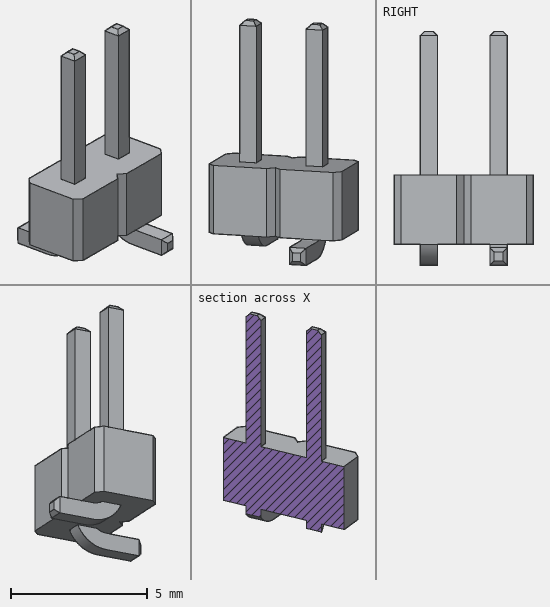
import cadquery as cq

housing_length = 5.08
housing_height = 2.545
housing_bottom = 0.76
corner_chamfer = 0.26
total_height = 8.54
foot_span = 5.0
pin_width = 0.64

pitch = housing_length / 2
tip_length = pin_width / 4
tip_face_width = pin_width / 2
half_pin = pin_width / 2
inner_radius = pin_width
outer_radius = inner_radius + pin_width
bend_center_x = -half_pin - inner_radius
shank_top = total_height - tip_length
foot_end_x = -foot_span / 2 + tip_length


def housing_cell(y):
    """Square block with chamfered vertical corners, centred at y."""
    return (
        cq.Workplane("XY", origin=(0, y, housing_bottom))
        .rect(pitch, pitch)
        .extrude(housing_height)
        .edges("|Z")
        .chamfer(corner_chamfer)
    )


def tapered_tip(plane):
    """Pyramidal pin end growing along the plane's normal."""
    return (
        cq.Workplane(plane)
        .rect(pin_width, pin_width)
        .workplane(offset=tip_length)
        .rect(tip_face_width, tip_face_width)
        .loft(ruled=True)
    )


def bent_pin():
    """Vertical square pin at the origin whose foot bends towards -X."""
    path = (
        cq.Workplane("XZ")
        .moveTo(0, shank_top)
        .lineTo(0, outer_radius)
        .radiusArc((bend_center_x, half_pin), inner_radius + half_pin)
        .lineTo(foot_end_x, half_pin)
    )
    shank = (
        cq.Workplane("XY", origin=(0, 0, shank_top))
        .rect(pin_width, pin_width)
        .sweep(path)
    )
    top_plane = cq.Plane((0, 0, shank_top), (1, 0, 0), (0, 0, 1))
    foot_plane = cq.Plane((foot_end_x, 0, half_pin), (0, 1, 0), (-1, 0, 0))
    return shank.union(tapered_tip(top_plane)).union(tapered_tip(foot_plane))


front_half = housing_cell(-pitch / 2).union(bent_pin().translate((0, -pitch / 2, 0)))
rear_half = front_half.rotate((0, 0, 0), (0, 0, 1), 180)
result = front_half.union(rear_half)